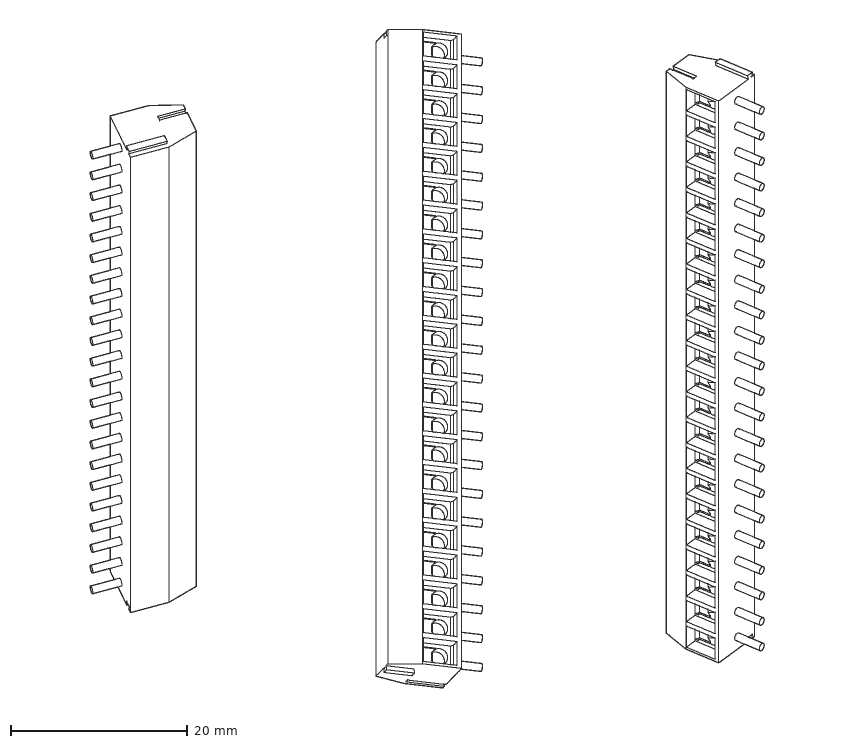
import cadquery as cq


pole_count = 22
total_height = 77.95
rail_height = 0.55
body_height = total_height - 2 * rail_height
pole_pitch = body_height / pole_count
body_width = 6.8
body_depth = 8.4
shoulder_y = 4.7
bevel_inset = 1.25

pin_diameter = 0.9
pin_length = 3.5
pin_x = 0.1

pocket_depth = 1.6
pocket_bottom_y = 0.55
pocket_shoulder_gap = 0.1
pocket_top_y = shoulder_y - pocket_shoulder_gap
pocket_height = 2.9
wedge_width = 0.2
wedge_height = 0.4
slot_width = 0.5
slot_depth = 0.8
slot_height = 2.4

hole_diameter = 1.95
hole_depth = 1.2
hole_y = 2.1
leaf_depth = 0.2
leaf_bend_y = 3.0
leaf_tip_y = 2.6
leaf_top_y = pocket_top_y - slot_width

dovetail_tip_width = 0.9
dovetail_base_width = 0.6
front_dovetail_x = 2.5
front_dovetail_length = pocket_top_y
rear_dovetail_x = -1.2
rear_dovetail_length = 3.35

face_x = -body_width / 2
floor_x = face_x + pocket_depth
body_top_z = body_height / 2
body_bottom_z = -body_top_z
pole_heights = [body_bottom_z + (pole + 0.5) * pole_pitch for pole in range(pole_count)]


def extrude_centred(outline, height):
    """Extrude an XY outline by the given height, centred on Z = 0."""
    return cq.Workplane("XY").workplane(offset=-height / 2).polyline(outline).close().extrude(height)


def make_body():
    half_width = body_width / 2
    half_roof = half_width - bevel_inset
    outline = [
        (-half_width, 0),
        (half_width, 0),
        (half_width, shoulder_y),
        (half_roof, body_depth),
        (-half_roof, body_depth),
        (-half_width, shoulder_y),
    ]
    return extrude_centred(outline, body_height)


def make_pocket():
    """Pocket of one pole: a recess wedged at its -Y end, with a slot, wire hole and leaf recess."""
    recess = extrude_centred(
        [
            (face_x, pocket_bottom_y),
            (floor_x - wedge_height, pocket_bottom_y),
            (floor_x, pocket_bottom_y + wedge_width),
            (floor_x, pocket_top_y),
            (face_x, pocket_top_y),
        ],
        pocket_height,
    )
    slot = extrude_centred(
        [(floor_x, pocket_top_y), (floor_x, leaf_top_y), (floor_x + slot_depth, leaf_top_y)],
        slot_height,
    )
    hole = (
        cq.Workplane("YZ", origin=(floor_x, hole_y, 0))
        .circle(hole_diameter / 2)
        .extrude(hole_depth)
    )
    leaf_x = floor_x + leaf_depth
    tip_x = floor_x + hole_depth
    leaf_solid = extrude_centred(
        [(leaf_x, leaf_top_y), (leaf_x, leaf_bend_y), (tip_x, leaf_tip_y), (tip_x, leaf_top_y)],
        hole_diameter,
    )
    leaf_recess = extrude_centred(
        [(floor_x, leaf_top_y), (floor_x, leaf_tip_y), (leaf_x, leaf_tip_y), (leaf_x, leaf_top_y)],
        hole_diameter,
    )
    return recess.union(slot).union(hole.cut(leaf_solid)).union(leaf_recess)


def make_pin():
    """Pin of one pole, on the pin face and pointing to -Y."""
    return cq.Workplane("XZ", origin=(pin_x, 0, 0)).circle(pin_diameter / 2).extrude(pin_length)


def make_dovetail(x, base_z, start_y, length):
    """Dovetail along +Y that rises from base_z and widens upward."""
    half_base = dovetail_base_width / 2
    half_tip = dovetail_tip_width / 2
    outline = [
        (-half_base, 0),
        (half_base, 0),
        (half_tip, rail_height),
        (-half_tip, rail_height),
    ]
    return cq.Workplane("XZ", origin=(x, start_y, base_z)).polyline(outline).close().extrude(-length)


def make_front_dovetail(base_z):
    """Dovetail at the pin side that rises from base_z."""
    return make_dovetail(front_dovetail_x, base_z, 0, front_dovetail_length)


def make_rear_dovetail(base_z):
    """Dovetail at the roof side that hangs from base_z and widens downward."""
    start_y = body_depth - rear_dovetail_length
    rising = make_dovetail(rear_dovetail_x, 0, start_y, rear_dovetail_length)
    return rising.mirror("XY").translate((0, 0, base_z))


pocket = make_pocket()
pin = make_pin()

result = make_body()
for z in pole_heights:
    result = result.cut(pocket.translate((0, 0, z)))
    result = result.union(pin.translate((0, 0, z)))

result = result.union(make_front_dovetail(body_top_z))
result = result.cut(make_front_dovetail(body_bottom_z))
result = result.union(make_rear_dovetail(body_bottom_z))
result = result.cut(make_rear_dovetail(body_top_z))